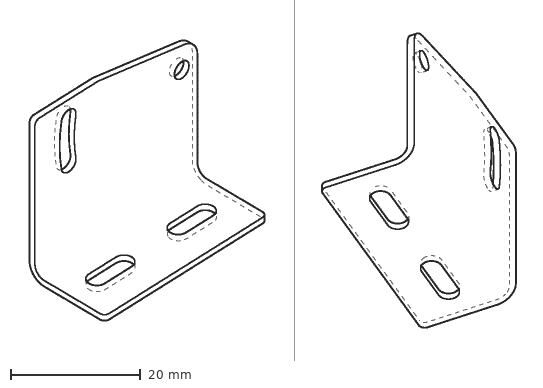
import cadquery as cq
import math

base_width = 16.2
length = 36.0
height = 31.2
thickness = 1.2
inner_bend_radius = 2.0
outer_bend_radius = inner_bend_radius + thickness
small_corner_radius = 1.0

flat_top_length = 14.0
slope_angle = 10.0
large_corner_radius = 3.6

pivot_y = 32.5
pivot_z = 23.2
pivot_diameter = 3.2
arc_slot_radius = 25.4
arc_slot_width = pivot_diameter
arc_slot_half_angle = 10.0

base_slot_x = 8.68
base_slot_width = 3.4
base_slot_length = 9.4
base_slot_positions = (length / 4, 3 * length / 4)


def bent_sheet():
    """L-shaped sheet with a rounded bend, extruded along +Y."""
    profile = (
        cq.Workplane("XZ")
        .polyline([(0, height), (0, 0), (base_width, 0), (base_width, thickness),
                   (thickness, thickness), (thickness, height)])
        .close()
        .extrude(-length)
    )
    outer_bend = cq.selectors.NearestToPointSelector((0, length / 2, 0))
    inner_bend = cq.selectors.NearestToPointSelector((thickness, length / 2, thickness))
    return (
        profile.edges(inner_bend).fillet(inner_bend_radius)
        .edges(outer_bend).fillet(outer_bend_radius)
    )


def top_waste():
    """Wedge removed above the sloped top edge."""
    slope_run = length - flat_top_length
    drop = slope_run * math.tan(math.radians(slope_angle))
    return (
        cq.Workplane("YZ")
        .polyline([(flat_top_length, height), (length, height), (length, height - drop)])
        .close()
        .extrude(thickness)
    )


def pivot_point(radius, angle):
    """YZ point at a radius and angle about the pivot, measured from -Y."""
    turn = math.radians(angle)
    return (pivot_y - radius * math.cos(turn), pivot_z + radius * math.sin(turn))


def arc_slot():
    """Round-ended slot concentric with the pivot hole."""
    inner = arc_slot_radius - arc_slot_width / 2
    outer = arc_slot_radius + arc_slot_width / 2
    half = arc_slot_half_angle
    end_radius = arc_slot_width / 2
    end_y, end_z = pivot_point(arc_slot_radius, half)
    turn = math.radians(half)
    tip_y = end_y + end_radius * math.sin(turn)
    tip_z = end_z + end_radius * math.cos(turn)
    return (
        cq.Workplane("YZ")
        .moveTo(*pivot_point(inner, -half))
        .threePointArc(pivot_point(inner, 0), pivot_point(inner, half))
        .threePointArc((tip_y, tip_z), pivot_point(outer, half))
        .threePointArc(pivot_point(outer, 0), pivot_point(outer, -half))
        .threePointArc((tip_y, 2 * pivot_z - tip_z), pivot_point(inner, -half))
        .close()
        .extrude(thickness)
    )


def pivot_hole():
    return (
        cq.Workplane("YZ")
        .center(pivot_y, pivot_z)
        .circle(pivot_diameter / 2)
        .extrude(thickness)
    )


def base_slots():
    return (
        cq.Workplane("XY")
        .pushPoints([(base_slot_x, y) for y in base_slot_positions])
        .slot2D(base_slot_length, base_slot_width, 90)
        .extrude(thickness)
    )


bracket = bent_sheet().cut(top_waste())

bracket = bracket.edges("|Z and >X").fillet(small_corner_radius)
top_front_corner = cq.selectors.NearestToPointSelector((thickness / 2, 0, height))
bracket = bracket.edges(top_front_corner).fillet(small_corner_radius)
top_back_corner = cq.selectors.NearestToPointSelector((thickness / 2, length, height))
bracket = bracket.edges(top_back_corner).fillet(large_corner_radius)

result = bracket.cut(pivot_hole()).cut(arc_slot()).cut(base_slots())